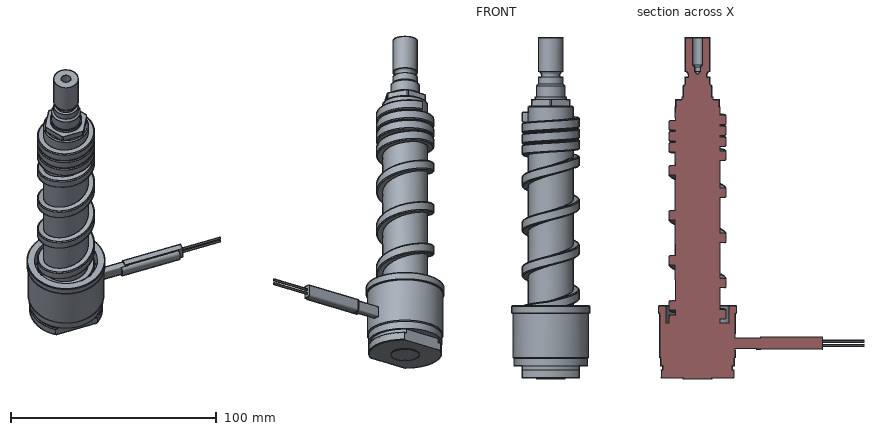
import cadquery as cq
import math

total_width = 38.0
total_depth = 100.0
total_height = 166.2

pad_radius = 7.0
pad_height = 0.5
plate_radius = 17.8
plate_top = 4.5
plate_chamfer = 0.3
groove_radius = 17.0
groove_top = 6.5
rim_radius = 18.0
rim_top = 10.1
body_radius = 18.5
body_chamfer = 0.5
flange_radius = total_width / 2
flange_bottom = 31.9
flange_top = 35.7
flange_chamfer = 0.3
flat_distance = 14.0
recess_radius = 15.3
recess_floor = 27.5

tube_radius = 11.0
tube_top = 133.0
tube_chamfer = 0.7
hex_top = 136.0
hex_across_flats = 18.8
hex_corner_radius = 10.6
washer_radius = 7.6
washer_top = 137.3
shoulder_radius = 7.0
shoulder_top = 143.6
shoulder_chamfer = 1.0
stem_radius = 6.0
neck_bottom = 147.0
neck_bottom_radius = 4.7
neck_waist = 147.8
neck_radius = 4.5
neck_top = 149.5
neck_top_radius = 5.5
tip_hole_radius = 2.3
tip_hole_depth = 13.3
tip_pilot_radius = 1.3
tip_pilot_depth = 16.6

coil_radius = 14.0
coil_height = 4.8
coil_chamfer = 0.5
coil_overlap = 0.3
coil_end_height = 127.5
coil_end_angle = 180.0
closed_pitch = 5.3
open_pitch = 22.0
blend_pitch = 11.0
upper_closed_turns = 3.0
upper_blend_turns = 0.6
open_turns = 3.16
lower_blend_turns = 0.25
lower_closed_turns = 1.0

cable_x = -1.0
cable_z = 17.5
cable_width = 3.7
cable_height = 5.3
cable_round = 0.7
cable_start_y = 13.3

sleeve_start_y = 30.7
sleeve_length = 30.0
sleeve_left = -3.3
sleeve_right = 0.3
sleeve_bottom = 14.5
sleeve_top = 20.6
sleeve_round = 1.0
strip_start_y = 28.6
strip_right = 2.3
strip_top = 20.0
strip_round = 1.8
strip_overlap = 0.3
wire_x = -1.3
wire_diameter = 1.0
wire_spacing = 2.0
wire_overlap = 1.7
wire_tip_y = total_depth - flange_radius


def cylinder(radius, bottom, top):
    return cq.Workplane("XY").workplane(offset=bottom).circle(radius).extrude(top - bottom)


def block(x_range, y_range, z_range):
    size = [high - low for low, high in (x_range, y_range, z_range)]
    corner = (x_range[0], y_range[0], z_range[0])
    return cq.Workplane("XY").box(*size, centered=False).translate(corner)


def make_housing():
    housing = cylinder(plate_radius, pad_height, plate_top).edges("<Z").chamfer(plate_chamfer)
    housing = housing.union(cylinder(groove_radius, plate_top, groove_top))

    flat_band = block(
        (-flat_distance, flat_distance),
        (-plate_radius, plate_radius),
        (pad_height, groove_top),
    )
    housing = housing.intersect(flat_band)

    housing = housing.union(cylinder(pad_radius, 0, pad_height))
    housing = housing.union(cylinder(rim_radius, groove_top, rim_top))
    body = cylinder(body_radius, rim_top, flange_bottom).edges("<Z").chamfer(body_chamfer)
    housing = housing.union(body)
    flange = cylinder(flange_radius, flange_bottom, flange_top).edges().chamfer(flange_chamfer)
    housing = housing.union(flange)

    return housing.cut(cylinder(recess_radius, recess_floor, flange_top))


def make_tip_hole():
    """Blind hole narrowing by 45 degree cones to a pilot and then to a point."""
    hole_end = total_height - tip_hole_depth
    pilot_end = total_height - tip_pilot_depth
    profile = [
        (0, total_height),
        (tip_hole_radius, total_height),
        (tip_hole_radius, hole_end),
        (tip_pilot_radius, hole_end - (tip_hole_radius - tip_pilot_radius)),
        (tip_pilot_radius, pilot_end),
        (0, pilot_end - tip_pilot_radius),
    ]
    return cq.Workplane("XZ").polyline(profile).close().revolve(360, (0, 0), (0, 1))


def make_shaft():
    profile = (
        cq.Workplane("XZ")
        .moveTo(0, rim_top)
        .lineTo(tube_radius, rim_top)
        .lineTo(tube_radius, tube_top - tube_chamfer)
        .lineTo(tube_radius - tube_chamfer, tube_top)
        .lineTo(washer_radius, tube_top)
        .lineTo(washer_radius, washer_top)
        .lineTo(shoulder_radius, washer_top)
        .lineTo(shoulder_radius, shoulder_top - shoulder_chamfer)
        .lineTo(stem_radius, shoulder_top)
        .lineTo(stem_radius, neck_bottom)
        .lineTo(neck_bottom_radius, neck_bottom)
        .threePointArc((neck_radius, neck_waist), (neck_top_radius, neck_top))
        .lineTo(stem_radius, neck_top)
        .lineTo(stem_radius, total_height)
        .lineTo(0, total_height)
        .close()
    )
    shaft = profile.revolve(360, (0, 0), (0, 1))

    hexagon = (
        cq.Workplane("XY")
        .workplane(offset=tube_top)
        .polygon(6, hex_across_flats / math.cos(math.pi / 6))
        .extrude(hex_top - tube_top)
        .rotate((0, 0, 0), (0, 0, 1), 30)
        .intersect(cylinder(hex_corner_radius, tube_top, hex_top))
    )
    return shaft.union(hexagon).cut(make_tip_hole())


def make_coil_stretch(pitch, turns, start_angle, start_height):
    """Rising stretch of coil; start_height is the middle of its section."""
    inner_radius = tube_radius - coil_overlap
    path = cq.Wire.makeHelix(pitch, pitch * turns, inner_radius)
    half_height = coil_height / 2
    section = [
        (inner_radius, -half_height),
        (coil_radius - coil_chamfer, -half_height),
        (coil_radius, -half_height + coil_chamfer),
        (coil_radius, half_height - coil_chamfer),
        (coil_radius - coil_chamfer, half_height),
        (inner_radius, half_height),
    ]
    outline = cq.Workplane("XZ").polyline(section).close()
    stretch = outline.sweep(cq.Workplane(path), isFrenet=True)
    return stretch.rotate((0, 0, 0), (0, 0, 1), start_angle).translate((0, 0, start_height))


def add_spring(part):
    stretches = [
        (closed_pitch, upper_closed_turns),
        (blend_pitch, upper_blend_turns),
        (open_pitch, open_turns),
        (blend_pitch, lower_blend_turns),
        (closed_pitch, lower_closed_turns),
    ]
    angle = coil_end_angle
    height = coil_end_height
    for pitch, turns in stretches:
        angle -= 360 * turns
        height -= pitch * turns
        part = part.union(make_coil_stretch(pitch, turns, angle, height))
    return part


def make_cable():
    sleeve_end_y = sleeve_start_y + sleeve_length
    cable = block(
        (cable_x - cable_width / 2, cable_x + cable_width / 2),
        (cable_start_y, sleeve_start_y + wire_overlap),
        (cable_z - cable_height / 2, cable_z + cable_height / 2),
    ).edges("|Y").fillet(cable_round)

    sleeve = block(
        (sleeve_left, sleeve_right),
        (sleeve_start_y, sleeve_end_y),
        (sleeve_bottom, sleeve_top),
    ).edges("|Y and <X").fillet(sleeve_round)
    strip = block(
        (sleeve_right - strip_overlap, strip_right),
        (strip_start_y, strip_start_y + sleeve_length),
        (sleeve_bottom, strip_top),
    ).edges("|Y and >X").fillet(strip_round)
    cable = cable.union(sleeve).union(strip)

    wire_start_y = sleeve_end_y - wire_overlap
    for side in (-1, 1):
        wire = (
            cq.Workplane("XZ", origin=(wire_x, wire_start_y, cable_z + side * wire_spacing / 2))
            .circle(wire_diameter / 2)
            .extrude(wire_start_y - wire_tip_y)
        )
        cable = cable.union(wire)
    return cable


result = add_spring(make_housing().union(make_shaft())).union(make_cable())